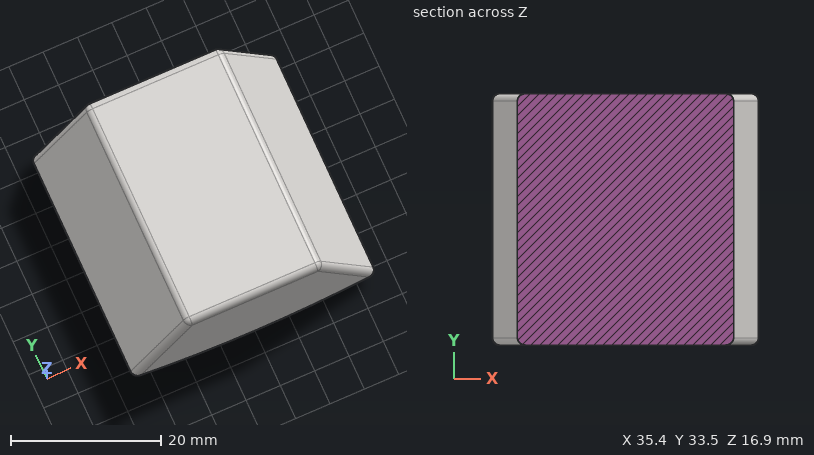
import cadquery as cq

width = 35.4
length = 33.48
height = 16.85

top_width = 19.45
bow_depth = 2.5
edge_radius = 1.0

section = (
    cq.Workplane("XZ")
    .moveTo(-width / 2, bow_depth)
    .threePointArc((0, 0), (width / 2, bow_depth))
    .lineTo(top_width / 2, height)
    .lineTo(-top_width / 2, height)
    .close()
)
block = section.extrude(length / 2, both=True)

top_edges = block.faces(">Z").edges()
corner_edges = block.faces("<Y or >Y").edges("%LINE").edges("not #Z")
result = block.newObject(top_edges.vals() + corner_edges.vals()).edges().fillet(edge_radius)